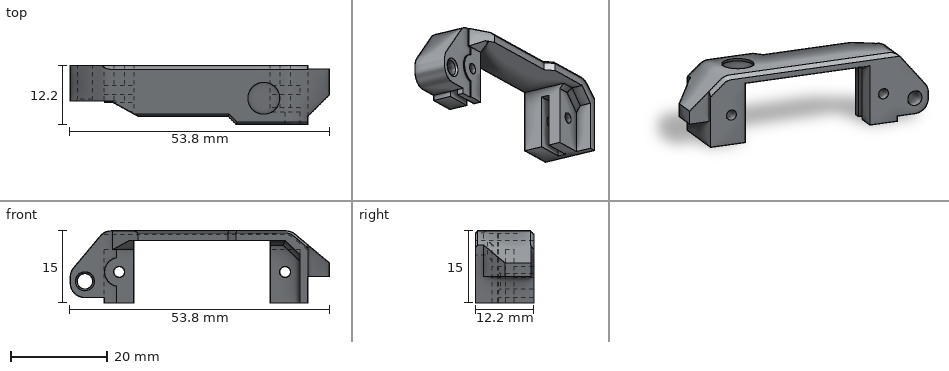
import cadquery as cq
import math


length = 53.8
depth = 12.2
height = 15.0
bend_radius = 3.0

deck_thickness = 2.05
deck_underside = height - deck_thickness
wall_outside = 49.35
wall_thickness = 1.6
wall_inside = wall_outside - wall_thickness
slope_angle = 40.0
slope = math.tan(math.radians(slope_angle))
slope_corner_x = 45.85
inner_slope_start = 44.6
inner_slope_end_z = 10.0
narrow_depth = 10.55
widening_start = 32.75
widening_end = 34.45
deck_left = 8.8
narrow_start = 14.1
front_chamfer = 0.5
back_chamfer = 0.8

body_depth = 7.35
pad_depth = 7.65
body_slope_angle = 50.0
body_corner_x = 7.15
body_foot_z = 1.15
foot_left = 7.05
left_leg_right = 13.25
pad_left = 9.65
pad_radius = 3.0
pivot_x = 3.05
pivot_z = 4.5
pivot_diameter = 3.2
pivot_mouth_diameter = 3.95

right_leg_left = 41.5
right_leg_depth = 8.7

screw_diameter = 2.2
screw_z = 6.45
left_screw_x = 10.15
right_screw_x = 44.6
slot_back = 4.2
slot_front = 5.95
slot_top = 11.1
left_gusset = 1.9
right_gusset = 0.95

tip_underside = 5.5
tip_back = 0.7
tip_corner = 6.1
recess_x = 40.2
recess_y = -6.805
recess_diameter = 6.6
recess_depth = 0.55


def slope_z(x):
    """Height of the outer right slope at x."""
    return height - (x - slope_corner_x) * slope


def box(x_min, x_max, front, back, z_min, z_max):
    """Block between two X, two Z and two depths behind and in front."""
    size = (x_max - x_min, front - back, z_max - z_min)
    return cq.Workplane("XY").box(*size, centered=False).translate((x_min, -front, z_min))


def side_extrusion(points, thickness):
    """Outline in X and Z, extruded forward from the back face."""
    return cq.Workplane("XZ").polyline(points).close().extrude(thickness)


def cylinder_along_y(x, z, diameter, thickness):
    return cq.Workplane("XZ").center(x, z).circle(diameter / 2).extrude(thickness)


def make_deck():
    """Deck bent down into the right wall, with both top edges chamfered."""
    deck = side_extrusion(
        [
            (deck_left, height),
            (slope_corner_x, height),
            (wall_outside, slope_z(wall_outside)),
            (wall_outside, 0),
            (wall_inside, 0),
            (wall_inside, inner_slope_end_z),
            (inner_slope_start, deck_underside),
            (deck_left, deck_underside),
        ],
        depth,
    )
    bend = cq.selectors.NearestToPointSelector((slope_corner_x, -depth / 2, height))
    deck = deck.edges(bend).fillet(bend_radius)
    plan = (
        cq.Workplane("XY")
        .polyline(
            [
                (deck_left, 0),
                (wall_outside, 0),
                (wall_outside, -depth),
                (widening_end, -depth),
                (widening_start, -narrow_depth),
                (deck_left, -narrow_depth),
            ]
        )
        .close()
        .extrude(height)
    )
    deck = deck.intersect(plan)
    deck = deck.faces(">Z").edges(">Y").chamfer(back_chamfer)
    front_edges = deck.faces(">Z").edges("<Y")
    for x, y in (
        ((deck_left + widening_start) / 2, -narrow_depth),
        ((widening_start + widening_end) / 2, -(narrow_depth + depth) / 2),
    ):
        front_edges = front_edges.add(deck.edges(cq.selectors.NearestToPointSelector((x, y, height))))
    deck = front_edges.chamfer(front_chamfer)
    corner_cut = (
        cq.Workplane("XY")
        .polyline([(deck_left, -pad_depth), (narrow_start, -narrow_depth), (deck_left, -narrow_depth)])
        .close()
        .extrude(height)
    )
    return deck.cut(corner_cut), corner_cut


def make_left_body():
    """Rounded body with the pivot end, and the slightly raised pad on its front."""
    body_slope = math.tan(math.radians(body_slope_angle))
    left_corner_z = height - body_corner_x * body_slope
    body = side_extrusion(
        [
            (0, body_foot_z),
            (0, left_corner_z),
            (body_corner_x, height),
            (left_leg_right, height),
            (left_leg_right, body_foot_z),
        ],
        body_depth,
    )
    for x, z in ((0, body_foot_z), (0, left_corner_z), (body_corner_x, height)):
        corner = cq.selectors.NearestToPointSelector((x, -body_depth / 2, z))
        body = body.edges(corner).fillet(bend_radius)
    body = body.union(box(foot_left, left_leg_right, body_depth, 0, 0, bend_radius))
    pad = box(pad_left, left_leg_right, pad_depth, 0, 0, deck_underside)
    pad = pad.union(cylinder_along_y(left_screw_x, screw_z, 2 * pad_radius, pad_depth))
    return body.union(pad).union(box(deck_left, left_leg_right, pad_depth, 0, deck_underside, height))


def make_left_gusset(corner_cut):
    """Sloped support under the deck in front of the left leg."""
    gusset = (
        cq.Workplane("YZ", origin=(deck_left, 0, 0))
        .polyline(
            [
                (-body_depth, deck_underside - left_gusset),
                (-pad_depth, deck_underside - left_gusset),
                (-pad_depth - left_gusset, deck_underside),
                (-body_depth, deck_underside),
            ]
        )
        .close()
        .extrude(left_leg_right - deck_left)
    )
    return gusset.cut(corner_cut)


def make_right_gusset():
    """Sloped support that follows the underside of the deck and of the bend."""
    path = (
        cq.Workplane("XZ", origin=(0, -right_leg_depth, 0))
        .moveTo(right_leg_left, deck_underside)
        .lineTo(inner_slope_start, deck_underside)
        .lineTo(wall_inside, inner_slope_end_z)
    )
    run_out = wall_thickness / 2
    inner_slope = (deck_underside - inner_slope_end_z) / (wall_inside - inner_slope_start)
    path = path.lineTo(wall_inside + run_out, inner_slope_end_z - run_out * inner_slope)
    return (
        cq.Workplane("YZ", origin=(right_leg_left, 0, 0))
        .polyline(
            [
                (-right_leg_depth, deck_underside - right_gusset),
                (-right_leg_depth - right_gusset, deck_underside),
                (-right_leg_depth, deck_underside),
            ]
        )
        .close()
        .sweep(path, transition="right")
    )


def make_right_leg():
    return side_extrusion(
        [
            (right_leg_left, 0),
            (wall_inside, 0),
            (wall_inside, inner_slope_end_z),
            (inner_slope_start, deck_underside),
            (right_leg_left, deck_underside),
        ],
        right_leg_depth,
    )


def make_tip():
    """Pointed end that carries the slope on past the wall."""
    side = side_extrusion(
        [
            (wall_outside, tip_underside),
            (length, tip_underside),
            (length, slope_z(length)),
            (wall_outside, slope_z(wall_outside)),
        ],
        depth,
    )
    plan = (
        cq.Workplane("XY")
        .polyline(
            [
                (wall_outside, -tip_back),
                (length, -tip_back),
                (length, -tip_corner),
                (wall_outside, -narrow_depth),
            ]
        )
        .close()
        .extrude(height)
    )
    return side.intersect(plan)


def cut_holes(part):
    for x in (left_screw_x, right_screw_x):
        part = part.cut(cylinder_along_y(x, screw_z, screw_diameter, depth))
    part = part.cut(cylinder_along_y(pivot_x, pivot_z, pivot_diameter, depth))
    mouth_depth = (pivot_mouth_diameter - pivot_diameter) / 2
    mouth = (
        cq.Workplane("XZ", origin=(pivot_x, -body_depth, pivot_z))
        .circle(pivot_mouth_diameter / 2)
        .workplane(offset=-mouth_depth)
        .circle(pivot_diameter / 2)
        .loft()
    )
    return part.cut(mouth)


def cut_slots(part):
    """Slots that split each leg into a front and a back half."""
    for x_min, x_max in ((foot_left, left_leg_right), (right_leg_left, wall_inside)):
        part = part.cut(box(x_min, x_max, slot_front, slot_back, 0, slot_top))
    return part


def cut_recess(part):
    recess = cq.Workplane("XY", origin=(recess_x, recess_y, height - recess_depth))
    return part.cut(recess.circle(recess_diameter / 2).extrude(recess_depth))


def cut_body_bevel(part):
    """Continue the bevel of the deck's back edge over the left body."""
    bevel = (
        cq.Workplane("YZ")
        .polyline([(0, height), (-back_chamfer, height), (0, height - back_chamfer)])
        .close()
        .extrude(left_leg_right)
    )
    return part.cut(bevel)


deck, corner_cut = make_deck()
part = deck.union(make_left_body()).union(make_left_gusset(corner_cut))
part = part.union(make_right_leg()).union(make_right_gusset()).union(make_tip())
part = cut_body_bevel(part)
part = cut_holes(part)
part = cut_slots(part)
result = cut_recess(part)